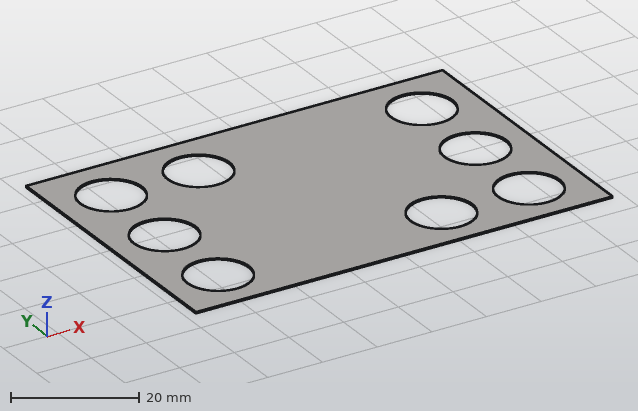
import cadquery as cq

length = 76.2
width = 50.8
thickness = 0.25

hole_diameter = 11.2
hole_pitch = 16.0
edge_column_x = 28.4
middle_row_y = -0.2
inner_column_x = edge_column_x - hole_pitch

hole_centers = [
    (side * edge_column_x, middle_row_y + row * hole_pitch)
    for side in (-1, 1)
    for row in (-1, 0, 1)
]

hole_centers += [
    (-side * inner_column_x, middle_row_y + side * hole_pitch)
    for side in (-1, 1)
]

plate = cq.Workplane("XY").box(length, width, thickness)
result = plate.faces(">Z").workplane().pushPoints(hole_centers).hole(hole_diameter)